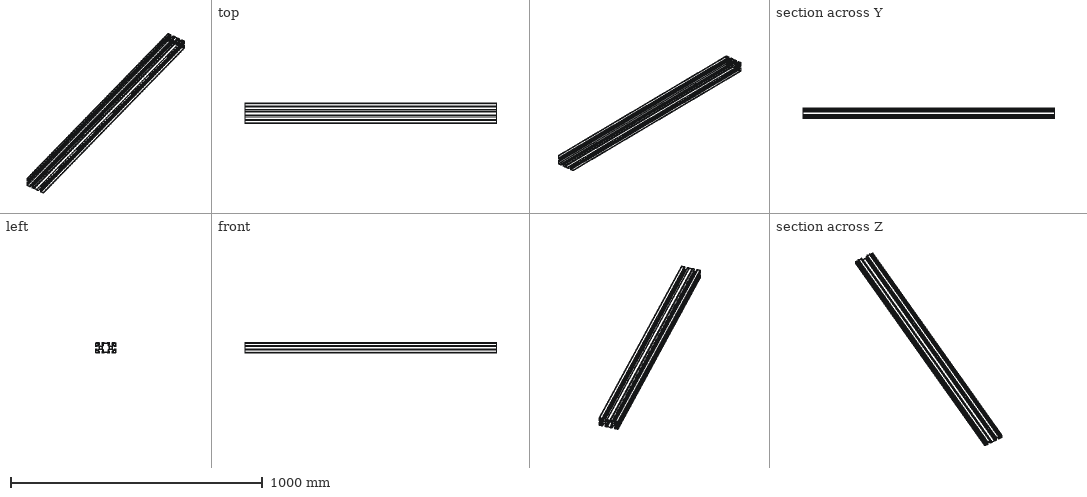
import cadquery as cq

length = 1000.0
module = 40.0
module_count = 2
width = module * module_count
half_module = module / 2
corner_radius = 3.0

mouth_half_width = 5.0
lip_radius = 1.0
lip_tip_thickness = 6.0
lip_root_thickness = 6.5
undercut_half_width = 9.5
undercut_depth = 9.0
core_half_width = 7.5
slot_depth = half_module - core_half_width
floor_half_width = undercut_half_width - (slot_depth - undercut_depth)

core_hole_size = 9.4

cavity_half_width = 13.0
cavity_half_height = 17.0
cavity_side_half_height = 5.0
cavity_neck_half_width = 8.0
cavity_shoulder_height = 10.0

corner_wall = 2.0
corner_hole_leg = 9.5
corner_hole_tip = 2.0

recess_width = 12.0
recess_depth = 1.0


def profile_plane():
    """Workplane of the cross-section (local x = Y, local y = Z) at the -X end."""
    return cq.Workplane("YZ", origin=(-length / 2, 0, 0))


def slot_cutter(y, turn):
    """T-slot opening upward on the module centred at y, turned about the module axis."""
    lip_arc_offset = lip_radius * (1 - 0.5**0.5)
    face = half_module
    cutter = (
        profile_plane()
        .moveTo(-mouth_half_width - lip_radius, face)
        .threePointArc(
            (-mouth_half_width - lip_arc_offset, face - lip_arc_offset),
            (-mouth_half_width, face - lip_radius),
        )
        .lineTo(-mouth_half_width, face - lip_tip_thickness)
        .lineTo(-undercut_half_width, face - lip_root_thickness)
        .lineTo(-undercut_half_width, face - undercut_depth)
        .lineTo(-floor_half_width, face - slot_depth)
        .lineTo(floor_half_width, face - slot_depth)
        .lineTo(undercut_half_width, face - undercut_depth)
        .lineTo(undercut_half_width, face - lip_root_thickness)
        .lineTo(mouth_half_width, face - lip_tip_thickness)
        .lineTo(mouth_half_width, face - lip_radius)
        .threePointArc(
            (mouth_half_width + lip_arc_offset, face - lip_arc_offset),
            (mouth_half_width + lip_radius, face),
        )
        .close()
        .extrude(length)
    )
    return cutter.rotate((0, 0, 0), (1, 0, 0), turn).translate((0, y, 0))


def central_cavity():
    """Cavity that is wide between the cores and necks in towards the top and bottom skins."""
    quarter = [
        (cavity_half_width, cavity_side_half_height),
        (cavity_neck_half_width, cavity_shoulder_height),
        (cavity_neck_half_width, cavity_half_height),
    ]
    upper = quarter + [(-y, z) for y, z in reversed(quarter)]
    lower = [(-y, -z) for y, z in upper]
    return profile_plane().polyline(upper + lower).close().extrude(length)


def corner_hole(side_y, side_z):
    """Triangular hole whose right angle points to the corner given by the two signs."""
    outer_y = width / 2 - corner_wall
    outer_z = half_module - corner_wall
    outline = [
        (outer_y, outer_z),
        (outer_y - corner_hole_leg, outer_z),
        (outer_y - corner_hole_leg, outer_z - corner_hole_tip),
        (outer_y - corner_hole_tip, outer_z - corner_hole_leg),
        (outer_y, outer_z - corner_hole_leg),
    ]
    points = [(side_y * y, side_z * z) for y, z in outline]
    return profile_plane().polyline(points).close().extrude(length)


result = profile_plane().rect(width, module).extrude(length).edges("|X").fillet(corner_radius)

for side in (-1, 1):
    module_y = side * half_module
    for turn in (0, 180, -90 * side):
        result = result.cut(slot_cutter(module_y, turn))
    core_hole = profile_plane().center(module_y, 0).rect(core_hole_size, core_hole_size).extrude(length)
    result = result.cut(core_hole)

result = result.cut(central_cavity())
for side_y in (-1, 1):
    for side_z in (-1, 1):
        result = result.cut(corner_hole(side_y, side_z))

for side_z in (-1, 1):
    recess = (
        profile_plane()
        .center(0, side_z * (half_module - recess_depth / 2))
        .rect(recess_width, recess_depth)
        .extrude(length)
    )
    result = result.cut(recess)